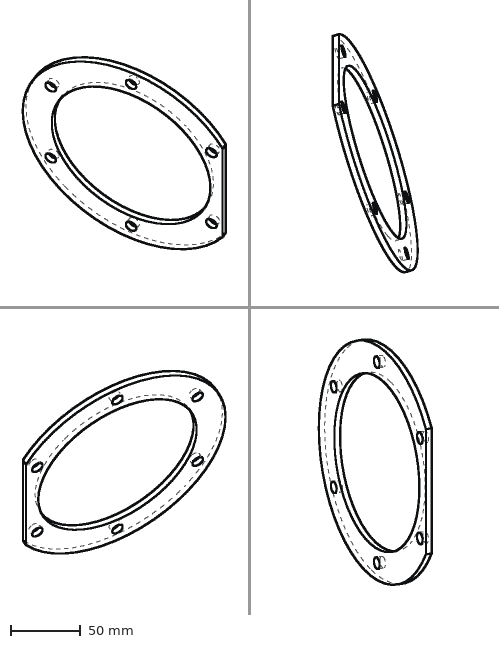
import cadquery as cq

outer_diameter = 177.7
bore_diameter = 130.1
thickness = 4.8
flat_distance = 75.2
bolt_circle_diameter = 152.1
bolt_hole_diameter = 8.5
bolt_count = 6
first_bolt_angle = 30.0

outer_radius = outer_diameter / 2
width = outer_radius + flat_distance


def front_plane():
    """Sketch plane on the -Y face; extrusions by -thickness run to the +Y face."""
    return cq.Workplane("XZ", origin=(0, -thickness / 2, 0))


def flatted_disc():
    """Disc with its axis along Y, trimmed to a flat on the +X side."""
    disc = front_plane().circle(outer_radius).extrude(-thickness)
    kept_block = (
        front_plane()
        .center(flat_distance - width / 2, 0)
        .rect(width, outer_diameter)
        .extrude(-thickness)
    )
    return disc.intersect(kept_block)


def bore():
    return front_plane().circle(bore_diameter / 2).extrude(-thickness)


def bolt_holes():
    return (
        front_plane()
        .polarArray(bolt_circle_diameter / 2, first_bolt_angle, 360, bolt_count)
        .circle(bolt_hole_diameter / 2)
        .extrude(-thickness)
    )


result = flatted_disc().cut(bore()).cut(bolt_holes())